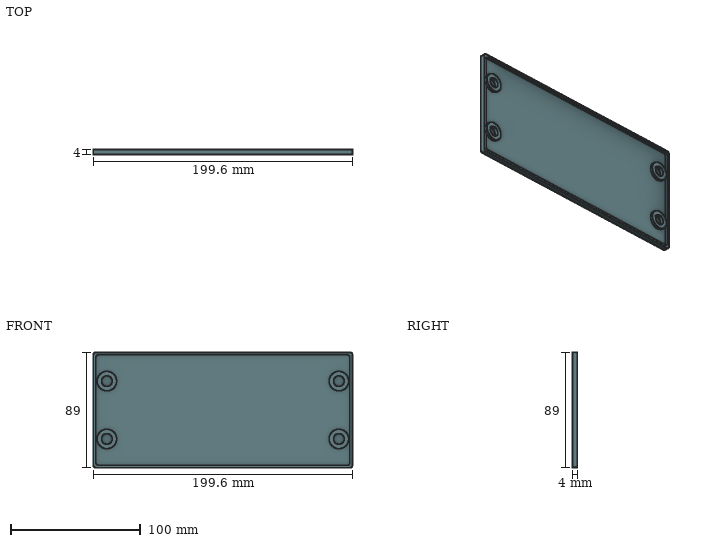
import cadquery as cq

length = 199.6
thickness = 4.0
height = 88.95
corner_radius = 2.0

rim_width = 2.0
recess_depth = 2.0
recess_corner_radius = 2.0

boss_diameter = 15.0
boss_height = recess_depth
hole_diameter = 8.2
hole_depth = 3.0
boss_spacing_x = 178.6
boss_spacing_z = 44.5

front_y = -thickness / 2
floor_y = front_y + recess_depth
boss_face_y = floor_y - boss_height


def plane_at(y):
    """XZ plane at the given Y whose positive extrusion runs toward +Y, into the plate."""
    return cq.Workplane(cq.Plane(origin=(0, y, 0), xDir=(1, 0, 0), normal=(0, 1, 0)))


def rounded_slab(start_y, size_x, size_z, depth, radius):
    """Rectangular slab with rounded corners, running from start_y toward +Y."""
    return plane_at(start_y).rect(size_x, size_z).extrude(depth).edges("|Y").fillet(radius)


def boss_cylinders(start_y, diameter, depth):
    """One cylinder at each of the four boss positions, running from start_y toward +Y."""
    centers = plane_at(start_y).rarray(boss_spacing_x, boss_spacing_z, 2, 2)
    return centers.circle(diameter / 2).extrude(depth)


plate = rounded_slab(front_y, length, height, thickness, corner_radius)
recess = rounded_slab(
    front_y,
    length - 2 * rim_width,
    height - 2 * rim_width,
    recess_depth,
    recess_corner_radius,
)
bosses = boss_cylinders(boss_face_y, boss_diameter, boss_height)
holes = boss_cylinders(boss_face_y, hole_diameter, hole_depth)

result = plate.cut(recess).union(bosses).cut(holes)